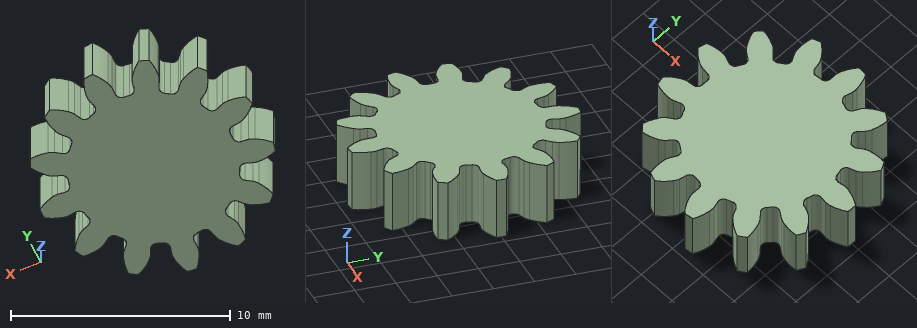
import cadquery as cq
import math

overall_span = 11.22
face_width = 3.0
tooth_count = 13
pressure_angle = math.radians(20)
addendum_factor = 1.0
dedendum_factor = 1.25
fillet_factor = 0.4


def involute(angle):
    """Polar angle swept by an involute up to the given pressure angle."""
    return math.tan(angle) - angle


def polar(radius, angle):
    return (radius * math.cos(angle), radius * math.sin(angle))


pitch_angle = 2 * math.pi / tooth_count
base_half_angle = pitch_angle / 4 + involute(pressure_angle)
tip_to_pitch = 1 + 2 * addendum_factor / tooth_count
tip_pressure_angle = math.acos(math.cos(pressure_angle) / tip_to_pitch)
tip_half_angle = base_half_angle - involute(tip_pressure_angle)

teeth_to_y_axis = tooth_count // 4
highest_corner_angle = teeth_to_y_axis * pitch_angle + tip_half_angle
tip_radius = overall_span / 2 / math.sin(highest_corner_angle)

pitch_radius = tip_radius / tip_to_pitch
module = 2 * pitch_radius / tooth_count
base_radius = pitch_radius * math.cos(pressure_angle)
root_radius = pitch_radius - dedendum_factor * module

fillet_radius = fillet_factor * module
fillet_center_radius = root_radius + fillet_radius
fillet_offset_angle = math.asin(fillet_radius / fillet_center_radius)
fillet_center_angle = base_half_angle + fillet_offset_angle
fillet_top_radius = fillet_center_radius * math.cos(fillet_offset_angle)


fillet_sweep = math.pi / 2 - fillet_offset_angle
fillet_middle_direction = fillet_center_angle + math.pi + fillet_sweep / 2
fillet_middle_x = (fillet_center_radius * math.cos(fillet_center_angle)
                   + fillet_radius * math.cos(fillet_middle_direction))
fillet_middle_y = (fillet_center_radius * math.sin(fillet_center_angle)
                   + fillet_radius * math.sin(fillet_middle_direction))
fillet_middle_radius = math.hypot(fillet_middle_x, fillet_middle_y)
fillet_middle_angle = math.atan2(fillet_middle_y, fillet_middle_x)


def flank(center_angle, side):
    """Five involute points from base circle to tip, the third on the pitch circle.

    side is -1 or +1 about the tooth centre.
    """
    pitch_roll = math.tan(pressure_angle)
    tip_roll = math.tan(tip_pressure_angle)
    rolls = [0, pitch_roll / 2, pitch_roll, (pitch_roll + tip_roll) / 2, tip_roll]
    points = []
    for roll in rolls:
        radius = base_radius * math.hypot(1, roll)
        half_angle = base_half_angle - involute(math.atan(roll))
        points.append(polar(radius, center_angle + side * half_angle))
    return points


def add_tooth(outline, center_angle):
    """Add one tooth and the root behind it, counterclockwise between fillet starts."""
    def at(radius, angle):
        return polar(radius, center_angle + angle)

    rising = flank(center_angle, -1)
    falling = flank(center_angle, 1)[::-1]
    return (
        outline
        .threePointArc(at(fillet_middle_radius, -fillet_middle_angle),
                       at(fillet_top_radius, -base_half_angle))
        .lineTo(*rising[0])
        .threePointArc(rising[1], rising[2])
        .threePointArc(rising[3], rising[4])
        .threePointArc(at(tip_radius, 0), falling[0])
        .threePointArc(falling[1], falling[2])
        .threePointArc(falling[3], falling[4])
        .lineTo(*at(fillet_top_radius, base_half_angle))
        .threePointArc(at(fillet_middle_radius, fillet_middle_angle),
                       at(root_radius, fillet_center_angle))
        .threePointArc(at(root_radius, pitch_angle / 2),
                       at(root_radius, pitch_angle - fillet_center_angle))
    )


gear_outline = cq.Workplane("XY").moveTo(*polar(root_radius, -fillet_center_angle))
for tooth in range(tooth_count):
    gear_outline = add_tooth(gear_outline, tooth * pitch_angle)

result = gear_outline.close().extrude(face_width)